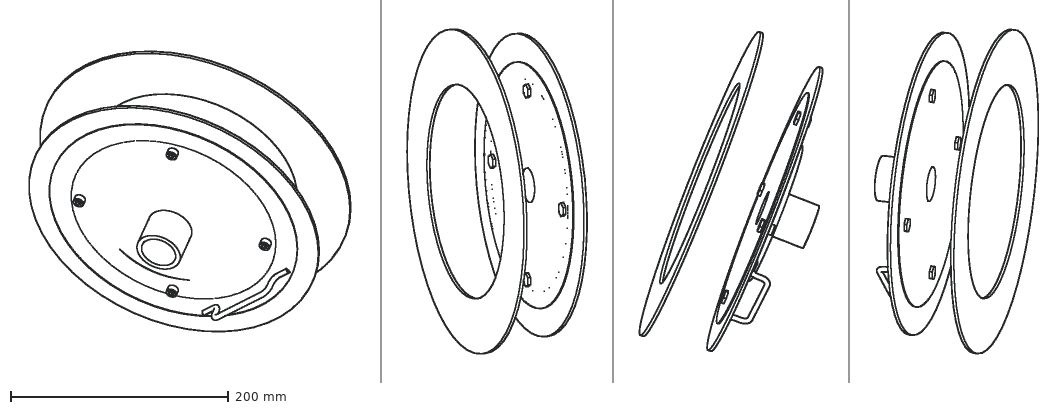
import cadquery as cq
import math


rear_ring_radius = 150.0
front_ring_radius = 140.0
ring_bore_radius = 99.0
ring_thickness = 3.0
ring_gap = 60.0

plate_thickness = 1.0
front_plate_radius = 120.0
back_plate_radius = 114.0

dish_base_radius = 75.0
dish_height = 9.0
dish_top_radius = dish_base_radius - dish_height
dish_bend_radius = 3.0

overall_depth = 110.0
hub_radius = 21.0
bore_radius = 16.0
mouth_radius = 16.5
mouth_straight_depth = 1.5
mouth_depth = 4.5

screw_count = 4
screw_circle_radius = 90.0
screw_head_diameter = 10.0
screw_head_height = 6.0
screw_head_chamfer = 0.5
socket_width = 4.5
socket_depth = 3.0
socket_tip_depth = 1.5
nut_width = 11.5
nut_height = 2.7

handle_distance = 100.0
handle_angle = 45.0
rod_radius = 2.5
handle_rise = 19.5
handle_bend_radius = 7.5
leg_half_spacing = 37.5
foot_half_spacing = 57.5

front_ring_front = plate_thickness
front_ring_back = front_ring_front + ring_thickness
disc_back = front_ring_back + plate_thickness
rear_ring_front = front_ring_back + ring_gap
hub_front = rear_ring_front + ring_thickness - overall_depth


def flange_ring(outer_radius, front_y):
    """Flat ring that reaches back from front_y by the ring thickness."""
    face = cq.Workplane("XZ", origin=(0, front_y, 0)).circle(outer_radius).circle(ring_bore_radius)
    return face.extrude(-ring_thickness)


def disc_with_dish():
    """Two plates with the ring groove between them, and the raised dish, revolved about Y."""
    body = (
        cq.Workplane("XY")
        .moveTo(0, disc_back)
        .lineTo(back_plate_radius, disc_back)
        .lineTo(back_plate_radius, front_ring_back)
        .lineTo(ring_bore_radius, front_ring_back)
        .lineTo(ring_bore_radius, front_ring_front)
        .lineTo(front_plate_radius, front_ring_front)
        .lineTo(front_plate_radius, 0)
        .lineTo(dish_base_radius, 0)
        .lineTo(dish_top_radius, -dish_height)
        .lineTo(0, -dish_height)
        .close()
        .revolve(360, (0, 0, 0), (0, 1, 0))
    )
    half_box = dish_base_radius + dish_bend_radius
    bends = cq.selectors.BoxSelector(
        (-half_box, -dish_height - plate_thickness, -half_box),
        (half_box, plate_thickness / 2, half_box),
        boundingbox=True,
    )
    return body.edges(bends).edges("%CIRCLE").fillet(dish_bend_radius)


def screw_head():
    """Socket head in front of the disc on the spool axis."""
    head = cq.Workplane("XZ").circle(screw_head_diameter / 2).extrude(screw_head_height)
    head = head.faces("<Y").edges().chamfer(screw_head_chamfer)
    socket = (
        cq.Workplane("XZ", origin=(0, -screw_head_height, 0))
        .polygon(6, socket_width, circumscribed=True)
        .extrude(-socket_depth)
    )
    socket_tip = cq.Solid.makeCone(
        socket_width / 2,
        0,
        socket_tip_depth,
        pnt=cq.Vector(0, socket_depth - screw_head_height, 0),
        dir=cq.Vector(0, 1, 0),
    )
    return head.cut(socket).cut(cq.Workplane(socket_tip))


def nut():
    """Hexagon nut behind the disc on the spool axis, with two corners along Z."""
    return (
        cq.Workplane("XZ", origin=(0, disc_back, 0))
        .polygon(6, nut_width, circumscribed=True)
        .extrude(-nut_height)
    )


def handle():
    """Rod bent from one foot up a leg, across the grip and down to the other foot."""
    corners = [
        cq.Vector(handle_distance, 0, -foot_half_spacing),
        cq.Vector(handle_distance, 0, -leg_half_spacing),
        cq.Vector(handle_distance, -handle_rise, -leg_half_spacing),
        cq.Vector(handle_distance, -handle_rise, leg_half_spacing),
        cq.Vector(handle_distance, 0, leg_half_spacing),
        cq.Vector(handle_distance, 0, foot_half_spacing),
    ]
    sharp_path = cq.Wire.makePolygon(corners)
    path = sharp_path.fillet2D(handle_bend_radius, sharp_path.Vertices()[1:-1])
    rod = cq.Workplane("XY", origin=corners[0].toTuple()).circle(rod_radius).sweep(cq.Workplane(path))
    behind_face = cq.Workplane("XZ").circle(front_plate_radius).extrude(-2 * rod_radius)
    return rod.cut(behind_face).rotate((0, 0, 0), (0, 1, 0), handle_angle)


def hub_mouth():
    """Cutter for the wider mouth of the bore: a straight part, then a taper down to the bore."""
    return (
        cq.Workplane("XY", origin=(0, hub_front, 0))
        .lineTo(mouth_radius, 0)
        .lineTo(mouth_radius, mouth_straight_depth)
        .lineTo(bore_radius, mouth_depth)
        .lineTo(0, mouth_depth)
        .close()
        .revolve(360, (0, 0, 0), (0, 1, 0))
    )


def hub_unit():
    """Disc, hub tube, screws, nuts and handle as one solid that holds the front ring."""
    body = disc_with_dish()
    tube = cq.Workplane("XZ").circle(hub_radius).extrude(-hub_front)
    bore = cq.Workplane("XZ", origin=(0, disc_back, 0)).circle(bore_radius).extrude(disc_back - hub_front)
    body = body.union(tube).cut(bore).cut(hub_mouth())
    for index in range(screw_count):
        angle = math.radians(index * 360 / screw_count)
        place = (screw_circle_radius * math.cos(angle), 0, screw_circle_radius * math.sin(angle))
        body = body.union(screw_head().translate(place)).union(nut().translate(place))
    return body.union(handle())


rear_ring = flange_ring(rear_ring_radius, rear_ring_front)
front_ring = flange_ring(front_ring_radius, front_ring_front)
hub = hub_unit()

result = cq.Compound.makeCompound([rear_ring.val(), front_ring.val(), hub.val()])